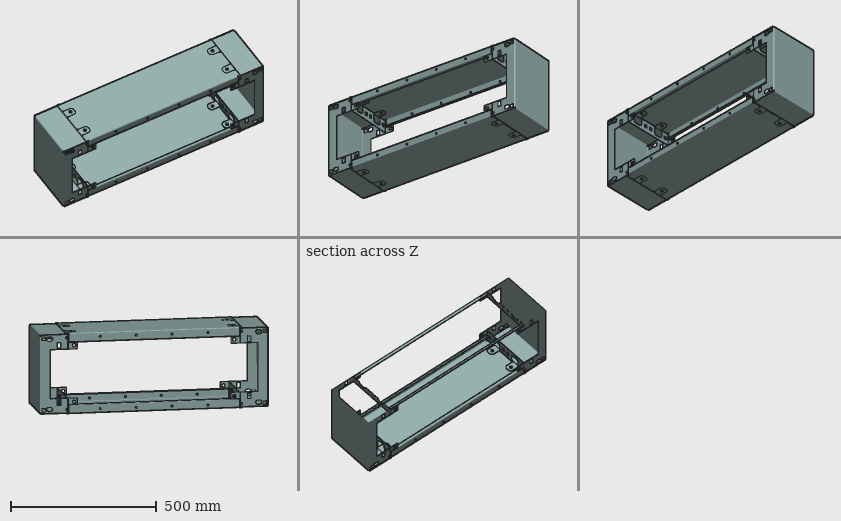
import cadquery as cq

WIDTH = 200.0
LENGTH = 798.0
HEIGHT = 281.0
SHEET = 2.0
BEND_RADIUS = 4.4
INNER_BEND_RADIUS = BEND_RADIUS - SHEET

HALF_WIDTH = WIDTH / 2
HALF_LENGTH = LENGTH / 2
HALF_HEIGHT = HEIGHT / 2
CAP_TOP = HALF_HEIGHT - SHEET

COVER_HALF_LENGTH = 306.5
SKIRT_HALF_LENGTH = 298.0
SKIRT_BOTTOM = 108.5
SKIRT_LIP = 11.0
SKIRT_HOLE_DIAMETER = 6.0
SKIRT_HOLE_PITCH = 125.0
SKIRT_HOLE_COUNT = 4
SKIRT_HOLE_Z = 126.0

TAB_X = 49.5
TAB_HOLE_Y = 282.5
TAB_HOLE_DIAMETER = 9.5
TAB_END_Y = 266.5
TAB_WIDTH = 30.0
TAB_WINDOW_WIDTH = 35.0
TAB_CORNER_RADIUS = 11.0
TAB_WINDOW_EDGE = 101.0

SLIT = 0.4
FLANGE_Y = 299.0
FLANGE_EDGE = 88.0
FLANGE_HALF_WIDTH = HALF_WIDTH - SHEET - SLIT
SQUARE_HOLE_SIZE = 10.0
SQUARE_HOLE_X = (12.0, 84.5)
SQUARE_HOLE_Z = 113.0

BEND_START_Y = HALF_LENGTH - BEND_RADIUS
FLAT_HALF_WIDTH = HALF_WIDTH - BEND_RADIUS

WINDOW_Y = 362.0
WINDOW_EDGE = 85.0
ARM_END_Y = 268.0
ARM_TOP = SKIRT_BOTTOM
ARM_CORNER_RADIUS = 4.0
WALL_NOTCH_Y = SKIRT_HALF_LENGTH

ROUND_HOLES = (
    (304.0, SKIRT_HOLE_Z, 8.0),
    (279.0, 99.0, 11.0),
)
OVAL_Y, OVAL_Z = 365.0, 123.0
OVAL_LENGTH, OVAL_HEIGHT = 21.0, 15.0
RECTANGULAR_HOLES = (
    (385.5, 125.0, 12.0, 12.0),
    (332.0, 100.0, 12.0, 19.0),
)


def block(x_range, y_range, z_range):
    """Box between two limits along each axis."""
    sizes = [high - low for low, high in (x_range, y_range, z_range)]
    corner = (x_range[0], y_range[0], z_range[0])
    return cq.Workplane().box(*sizes, centered=False).translate(corner)


def both(limit):
    return (-limit, limit)


def folded_tube(x_range, y_range, z_range, axis):
    """Sheet folded into a closed tube along the given axis letter, with open ends."""
    ranges = {"X": x_range, "Y": y_range, "Z": z_range}
    outside = block(*ranges.values()).edges("|" + axis).fillet(BEND_RADIUS)
    for name, (low, high) in ranges.items():
        if name != axis:
            ranges[name] = (low + SHEET, high - SHEET)
    inside = block(*ranges.values()).edges("|" + axis).fillet(INNER_BEND_RADIUS)
    return outside.cut(inside)


def hole_through_x(y, z, diameter):
    return cq.Workplane("YZ").center(y, z).circle(diameter / 2).extrude(HALF_WIDTH, both=True)


def tab_hole_cutter(x, y):
    return cq.Workplane().center(x, y).circle(TAB_HOLE_DIAMETER / 2).extrude(HALF_HEIGHT)


def make_cover():
    """Upper cover: a flat plate with a skirt along both long sides."""
    cover = folded_tube(
        both(HALF_WIDTH), both(SKIRT_HALF_LENGTH), (SKIRT_BOTTOM, HALF_HEIGHT), "Y"
    )
    lip_opening = block(
        both(HALF_WIDTH - SKIRT_LIP),
        both(SKIRT_HALF_LENGTH),
        (SKIRT_BOTTOM, SKIRT_BOTTOM + BEND_RADIUS),
    )
    cover = cover.cut(lip_opening)
    for side in (-1, 1):
        ends = sorted((side * SKIRT_HALF_LENGTH, side * COVER_HALF_LENGTH))
        cover = cover.union(block(both(HALF_WIDTH), ends, (CAP_TOP, HALF_HEIGHT)))
        for x in both(TAB_X):
            cover = cover.cut(tab_hole_cutter(x, side * TAB_HOLE_Y))
    for index in range(SKIRT_HOLE_COUNT):
        y = (index - (SKIRT_HOLE_COUNT - 1) / 2) * SKIRT_HOLE_PITCH
        cover = cover.cut(hole_through_x(y, SKIRT_HOLE_Z, SKIRT_HOLE_DIAMETER))
    return cover


def make_cap_side_walls():
    """End plate with both side walls bent from it."""
    length = (ARM_END_Y, HALF_LENGTH)
    walls = block(both(HALF_WIDTH), length, both(CAP_TOP))
    walls = walls.edges("|Z and >Y").fillet(BEND_RADIUS)
    inside = block(both(HALF_WIDTH - SHEET), (ARM_END_Y, HALF_LENGTH - SHEET), both(CAP_TOP))
    walls = walls.cut(inside.edges("|Z and >Y").fillet(INNER_BEND_RADIUS))

    window = block(both(HALF_WIDTH), (ARM_END_Y, WINDOW_Y), both(WINDOW_EDGE))
    walls = walls.cut(window)
    for low, high in ((ARM_TOP, CAP_TOP), (-CAP_TOP, -ARM_TOP)):
        walls = walls.cut(block(both(HALF_WIDTH), (ARM_END_Y, WALL_NOTCH_Y), (low, high)))
    walls = walls.edges("|X and <Y").fillet(ARM_CORNER_RADIUS)

    for low, high in ((CAP_TOP - BEND_RADIUS, CAP_TOP), (-CAP_TOP, BEND_RADIUS - CAP_TOP)):
        walls = walls.cut(block(both(HALF_WIDTH), (BEND_START_Y, HALF_LENGTH), (low, high)))
    for side in (-1, 1):
        for y, z, diameter in ROUND_HOLES:
            walls = walls.cut(hole_through_x(y, side * z, diameter))
        oval = cq.Workplane("YZ").center(OVAL_Y, side * OVAL_Z).slot2D(OVAL_LENGTH, OVAL_HEIGHT)
        walls = walls.cut(oval.extrude(HALF_WIDTH, both=True))
        for y, z, length, height in RECTANGULAR_HOLES:
            opening = cq.Workplane("YZ").center(y, side * z).rect(length, height)
            walls = walls.cut(opening.extrude(HALF_WIDTH, both=True))
    return walls


def make_screw_tab(x):
    """Upper tab bent out of the inner flange to lie under the cover."""
    tab = block(
        (x - TAB_WIDTH / 2, x + TAB_WIDTH / 2),
        (TAB_END_Y, FLANGE_Y + BEND_RADIUS),
        (CAP_TOP - SHEET, CAP_TOP),
    )
    tab = tab.edges("|Z and <Y").fillet(TAB_CORNER_RADIUS)
    return tab.cut(tab_hole_cutter(x, TAB_HOLE_Y))


def make_tab_window(x):
    """Opening left in the inner flange where a tab has been bent out."""
    window = block(
        (x - TAB_WINDOW_WIDTH / 2, x + TAB_WINDOW_WIDTH / 2),
        (FLANGE_Y, FLANGE_Y + BEND_RADIUS),
        (TAB_WINDOW_EDGE, CAP_TOP),
    )
    return window.edges("|Y and <Z").fillet(TAB_CORNER_RADIUS)


def make_cap_top_walls():
    """End plate with the top and bottom walls and their inner flanges."""
    walls = folded_tube(both(FLANGE_HALF_WIDTH), (FLANGE_Y, HALF_LENGTH), both(CAP_TOP), "X")
    flange_depth = (FLANGE_Y, FLANGE_Y + BEND_RADIUS)
    walls = walls.cut(block(both(HALF_WIDTH), flange_depth, both(FLANGE_EDGE)))
    for low, high in ((-HALF_WIDTH, -FLAT_HALF_WIDTH), (FLAT_HALF_WIDTH, HALF_WIDTH)):
        walls = walls.cut(block((low, high), (BEND_START_Y, HALF_LENGTH), both(CAP_TOP)))

    for x in both(TAB_X):
        window = make_tab_window(x)
        tab = make_screw_tab(x)
        walls = walls.cut(window).cut(window.mirror("XY"))
        walls = walls.union(tab).union(tab.mirror("XY"))
    for distance in SQUARE_HOLE_X:
        for x in both(distance):
            for z in both(SQUARE_HOLE_Z):
                half = SQUARE_HOLE_SIZE / 2
                hole = block((x - half, x + half), flange_depth, (z - half, z + half))
                walls = walls.cut(hole)
    return walls


def make_end_cap():
    """End cap at the +Y end of the frame."""
    return make_cap_side_walls().union(make_cap_top_walls())


upper_cover = make_cover()
covers = [upper_cover, upper_cover.mirror("XY")]

rear_cap = make_end_cap()
end_caps = [rear_cap, rear_cap.mirror("XZ")]

result = cq.Compound.makeCompound([body.val() for body in covers + end_caps])